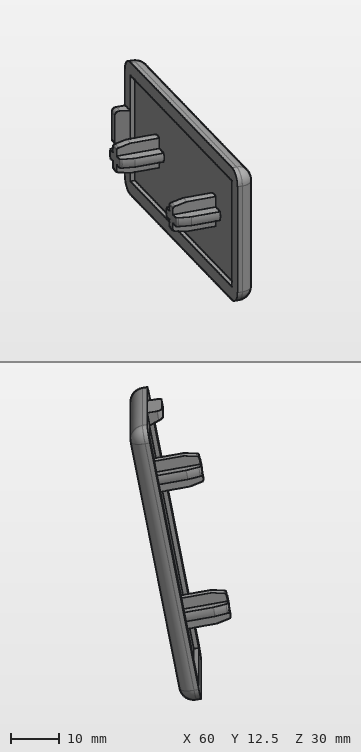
import cadquery as cq

length = 60.0
height = 30.0
total_depth = 12.5
plate_thickness = 4.0
corner_radius = 3.0
rim_width = 3.0
recess_depth = 1.0

peg_spacing = 30.0
peg_diameter = 7.0
peg_tip_diameter = 5.75
peg_arm_width = 2.0
peg_taper_length = 3.0
peg_tip_round = 0.5

clip_width = 8.0
clip_length = 3.0
clip_inset = 0.2
clip_base_thickness = 2.75
clip_tip_thickness = 1.75
clip_round = 1.0

recess_floor = recess_depth
peg_end = plate_thickness - total_depth


def make_plate():
    """Rounded plate with a full-radius front edge and a shallow recess in its back."""
    plate = (
        cq.Workplane("XY")
        .box(length, plate_thickness, height, centered=(True, False, True))
        .edges("|Y")
        .fillet(corner_radius)
        .faces(">Y")
        .edges()
        .fillet(corner_radius)
    )
    recess = cq.Workplane("XY").box(
        length - 2 * rim_width, recess_depth, height - 2 * rim_width, centered=(True, False, True)
    )
    return plate.cut(recess)


def make_peg(x):
    """Cross-shaped peg trimmed by a round body with a tapered, rounded tip."""
    body = (
        cq.Workplane("XY")
        .moveTo(0, recess_floor)
        .lineTo(peg_diameter / 2, recess_floor)
        .lineTo(peg_diameter / 2, peg_end + peg_taper_length)
        .lineTo(peg_tip_diameter / 2, peg_end)
        .lineTo(0, peg_end)
        .close()
        .revolve(360, (0, 0, 0), (0, 1, 0))
        .faces("<Y")
        .edges()
        .fillet(peg_tip_round)
    )
    arms = cq.Workplane("XZ", origin=(0, recess_floor, 0))
    peg_length = recess_floor - peg_end
    cross = arms.rect(peg_diameter, peg_arm_width).extrude(peg_length)
    cross = cross.union(arms.rect(peg_arm_width, peg_diameter).extrude(peg_length))
    return body.intersect(cross).translate((x, 0, 0))


def make_clip():
    """Wedge-shaped clip with rounded tip corners, sloping on its inner side."""
    outer_x = -length / 2 + clip_inset
    wedge = (
        cq.Workplane("XY", origin=(0, 0, -clip_width / 2))
        .polyline([
            (outer_x, 0),
            (outer_x + clip_base_thickness, 0),
            (outer_x + clip_tip_thickness, -clip_length),
            (outer_x, -clip_length),
        ])
        .close()
        .extrude(clip_width)
    )
    return wedge.faces("<Y").edges("|X").fillet(clip_round)


result = make_plate().union(make_clip())
for peg_x in (-peg_spacing / 2, peg_spacing / 2):
    result = result.union(make_peg(peg_x))